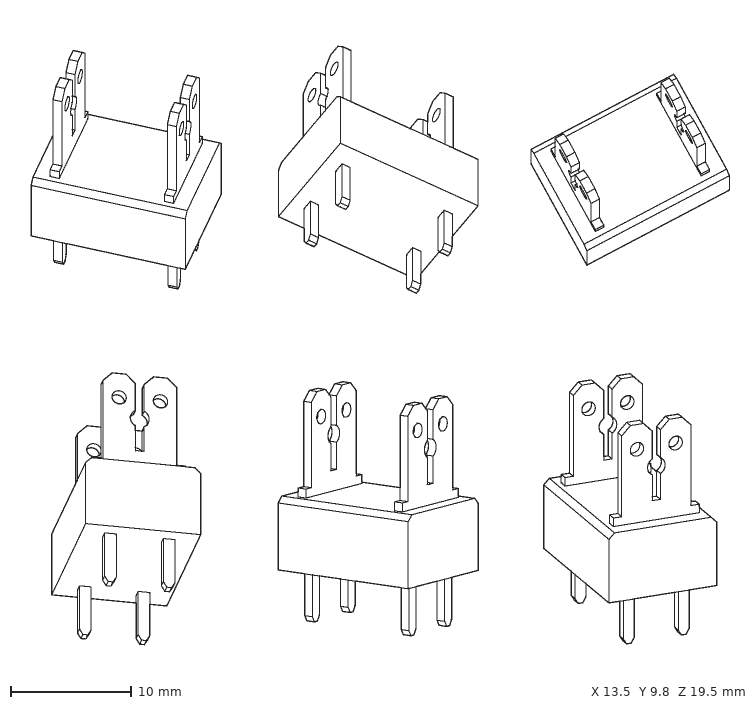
import cadquery as cq

housing_length = 13.5
housing_width = 9.8
housing_height = 6.2
housing_chamfer = 0.5

contact_spacing_x = 10.0
pin_spacing_y = 5.0
sheet_thickness = 0.8

pin_width = 1.0
pin_length = 4.5
pin_tip_height = 0.49
pin_tip_inset = 0.3

total_height = 19.5
terminal_height = total_height - housing_height - pin_length
foot_width = 7.8
foot_height = 0.76
blade_width = 6.3
prong_chamfer = 0.8
slot_width = 0.75
slot_floor = 1.75
slot_eye_height = 4.78
slot_eye_diameter = 1.6
prong_hole_height = 6.57
prong_hole_diameter = 1.2
prong_hole_offset = (blade_width + slot_width) / 4

contact_x_positions = (-contact_spacing_x / 2, contact_spacing_x / 2)
pin_y_positions = (-pin_spacing_y / 2, pin_spacing_y / 2)


def make_housing():
    """Block standing on Z = 0, centred on the Z axis."""
    block = cq.Workplane("XY").box(
        housing_length, housing_width, housing_height, centered=(True, True, False)
    )
    return block.faces(">Z").edges("|X").chamfer(housing_chamfer)


def sheet_plane(x, z):
    """YZ workplane on the near face of a sheet whose middle is at x."""
    return cq.Workplane("YZ", origin=(x - sheet_thickness / 2, 0, z))


def make_terminal(x):
    """Two-pronged blade on a wider foot, standing on the housing top."""
    plane = sheet_plane(x, housing_height)
    foot = plane.center(0, foot_height / 2).rect(foot_width, foot_height).extrude(sheet_thickness)
    blade = (
        plane.center(0, terminal_height / 2)
        .rect(blade_width, terminal_height)
        .extrude(sheet_thickness)
    )

    slot_depth = terminal_height - slot_floor
    slot = (
        plane.center(0, slot_floor + slot_depth / 2)
        .rect(slot_width, slot_depth)
        .extrude(sheet_thickness)
    )
    prongs = blade.cut(slot).faces(">Z").edges("|X").chamfer(prong_chamfer)

    eye = plane.center(0, slot_eye_height).circle(slot_eye_diameter / 2).extrude(sheet_thickness)
    prong_holes = (
        plane.pushPoints([(side * prong_hole_offset, prong_hole_height) for side in (-1, 1)])
        .circle(prong_hole_diameter / 2)
        .extrude(sheet_thickness)
    )
    return prongs.union(foot).cut(eye).cut(prong_holes)


def make_pin(x, y):
    """Flat pin hanging from the housing underside, tapered across Y at its tip."""
    half_width = pin_width / 2
    half_tip = half_width - pin_tip_inset
    taper_start = pin_tip_height - pin_length
    return (
        sheet_plane(x, 0)
        .center(y, 0)
        .polyline([
            (-half_width, 0),
            (-half_width, taper_start),
            (-half_tip, -pin_length),
            (half_tip, -pin_length),
            (half_width, taper_start),
            (half_width, 0),
        ])
        .close()
        .extrude(sheet_thickness)
    )


housing = make_housing()
terminals = [make_terminal(x) for x in contact_x_positions]
pins = [make_pin(x, y) for x in contact_x_positions for y in pin_y_positions]

result = cq.Compound.makeCompound([
    housing.val(),
    *[terminal.solids().val() for terminal in terminals],
    *[pin.val() for pin in pins],
])